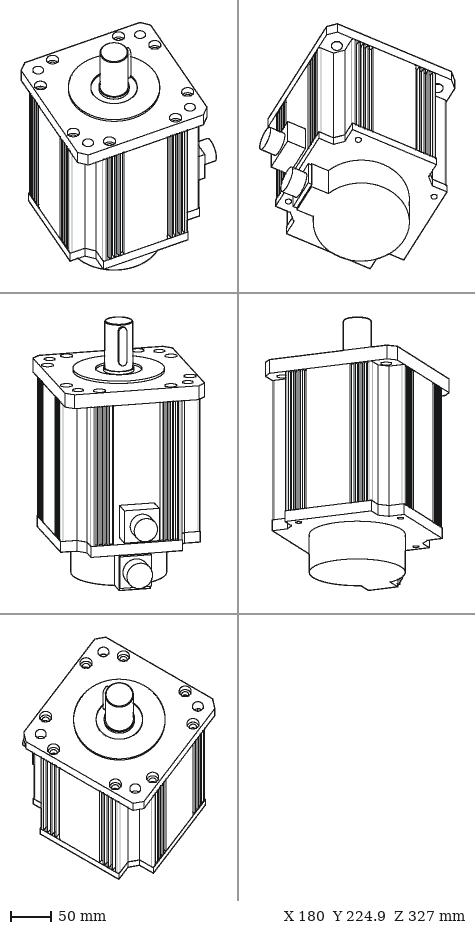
import cadquery as cq
import math


encoder_height = 49
rear_flange_thickness = 14
stator_length = 181
front_flange_thickness = 18
shaft_projection = 65

rear_flange_z = encoder_height
stator_z = rear_flange_z + rear_flange_thickness
front_flange_z = stator_z + stator_length
mounting_face_z = front_flange_z + front_flange_thickness
shaft_end_z = mounting_face_z + shaft_projection

frame_size = 180
half_frame = frame_size / 2
notch_wall = 58.9
notch_floor = 69.3
core_radius = math.hypot(notch_wall, notch_floor)

flange_corner_chamfer = 10
mounting_circle_diameter = 200
mounting_hole_diameter = 13.5
pilot_diameter = 114.3
pilot_height = 3
seal_recess_diameter = 58
seal_recess_depth = 2.5
seal_floor_z = mounting_face_z + pilot_height - seal_recess_depth

bolt_circle_radius = 92
bolt_half_spread = 30
bolt_pattern_twist = 0.4
bolt_hole_diameter = 9
counterbore_diameter = 15
counterbore_depth = 9
through_bolt_circle_radius = 91
through_bolt_hole_diameter = 7.5

center_land_half_width = 30
first_fin_start = 35
fin_pitch = 6.25
fin_width = 2.3
fins_per_half_side = 4
groove_floor = math.sqrt(core_radius**2 - first_fin_start**2)
stator_corner_fillet = 3

shaft_diameter = 35
shaft_chamfer = 1
collar_diameter = 38
collar_projection = 4
collar_top_z = mounting_face_z + collar_projection
key_width = 10
key_length = 50
key_bottom_y = 13
key_top_y = 21
key_end_gap = 3
key_center_z = shaft_end_z - key_end_gap - key_length / 2

cover_radius = 60
cover_box_width = 40
cover_box_y = 80
plug_plate_size = 41
plug_plate_thickness = 5
plug_diameter = 33
plug_length = 19.7
plug_center_z = 24.8

power_box_width = 45
power_box_height = 42
power_box_length = 25
power_box_center_z = 93
power_plug_diameter = 30
power_plug_length = 19.92


def polar(radius, angle):
    """Point at the given radius and angle in degrees."""
    return (radius * math.cos(math.radians(angle)), radius * math.sin(math.radians(angle)))


def prism_toward_y(section, start_y, center_z, length):
    """Extrude a section function's sketch from y = start_y toward +Y."""
    plane = cq.Plane(origin=(0, start_y, center_z), xDir=(-1, 0, 0), normal=(0, 1, 0))
    return section(cq.Workplane(plane)).extrude(length)


bolt_angles = [
    quarter * 90 + side * bolt_half_spread + bolt_pattern_twist
    for quarter in range(4)
    for side in (-1, 1)
]
bolt_points = [polar(bolt_circle_radius, angle) for angle in bolt_angles]

through_bolt_points = [polar(through_bolt_circle_radius, angle) for angle in bolt_angles[::2]]


def drill_through_bolts(body):
    """Cut the four long tie bolt holes through a body."""
    holes = (
        cq.Workplane("XY")
        .pushPoints(through_bolt_points)
        .circle(through_bolt_hole_diameter / 2)
        .extrude(shaft_end_z)
    )
    return body.cut(holes)


def make_front_flange():
    plate = (
        cq.Workplane("XY", origin=(0, 0, front_flange_z))
        .rect(frame_size, frame_size)
        .extrude(front_flange_thickness)
        .edges("|Z")
        .chamfer(flange_corner_chamfer)
    )
    face = cq.Workplane("XY", origin=(0, 0, mounting_face_z))
    pilot = face.circle(pilot_diameter / 2).extrude(pilot_height)
    seal_recess = (
        cq.Workplane("XY", origin=(0, 0, seal_floor_z))
        .circle(seal_recess_diameter / 2)
        .extrude(seal_recess_depth)
    )
    mounting_points = [polar(mounting_circle_diameter / 2, 45 + 90 * corner) for corner in range(4)]
    mounting_holes = (
        face.pushPoints(mounting_points)
        .circle(mounting_hole_diameter / 2)
        .extrude(-front_flange_thickness)
    )
    bolt_holes = (
        face.pushPoints(bolt_points)
        .circle(bolt_hole_diameter / 2)
        .extrude(-front_flange_thickness)
    )
    counterbores = (
        face.pushPoints(bolt_points)
        .circle(counterbore_diameter / 2)
        .extrude(-counterbore_depth)
    )
    flange = plate.union(pilot).cut(seal_recess)
    return flange.cut(mounting_holes).cut(bolt_holes).cut(counterbores)


def notch_cutter(corner, base_z, height, rounded_floor):
    """Corner notch: two walls and a floor that is flat or an arc about the motor axis.

    The outer points lie well outside the frame so that the notch opens to both sides.
    """
    start = (notch_wall, notch_floor)
    end = (notch_floor, notch_wall)
    outline = (
        cq.Workplane("XY", origin=(0, 0, base_z))
        .moveTo(notch_wall, frame_size)
        .lineTo(*start)
    )
    if rounded_floor:
        outline = outline.threePointArc(polar(core_radius, 45), end)
    else:
        outline = outline.lineTo(*end)
    cutter = outline.lineTo(frame_size, notch_wall).lineTo(frame_size, frame_size).close().extrude(height)
    return cutter.rotate((0, 0, 0), (0, 0, 1), 90 * corner)


def make_notched_block(base_z, height, rounded_floor):
    block = cq.Workplane("XY", origin=(0, 0, base_z)).rect(frame_size, frame_size).extrude(height)
    for corner in range(4):
        block = block.cut(notch_cutter(corner, base_z, height, rounded_floor))
    return block


def make_half_side_grooves():
    """Grooves between the fins on the +X half of the +Y side."""
    sketch_plane = cq.Workplane("XY", origin=(0, 0, stator_z))

    arc_middle_x = (center_land_half_width + first_fin_start) / 2
    grooves = (
        sketch_plane.moveTo(center_land_half_width, half_frame)
        .lineTo(center_land_half_width, math.sqrt(core_radius**2 - center_land_half_width**2))
        .threePointArc(
            (arc_middle_x, math.sqrt(core_radius**2 - arc_middle_x**2)),
            (first_fin_start, groove_floor),
        )
        .lineTo(first_fin_start, half_frame)
        .close()
        .extrude(stator_length)
    )
    groove_width = fin_pitch - fin_width
    groove_depth = half_frame - groove_floor
    for fin in range(fins_per_half_side - 1):
        groove_start = first_fin_start + fin * fin_pitch + fin_width
        groove = (
            sketch_plane.center(groove_start + groove_width / 2, half_frame - groove_depth / 2)
            .rect(groove_width, groove_depth)
            .extrude(stator_length)
        )
        grooves = grooves.union(groove)
    return grooves


def make_stator():
    stator = make_notched_block(stator_z, stator_length, rounded_floor=True)
    stator = stator.edges("|Z").edges(">X or <X or >Y or <Y").fillet(stator_corner_fillet)
    half_side = make_half_side_grooves()
    full_side = half_side.union(half_side.mirror("YZ"))
    for side in range(4):
        stator = stator.cut(full_side.rotate((0, 0, 0), (0, 0, 1), 90 * side))
    return drill_through_bolts(stator)


def make_rear_flange():
    return drill_through_bolts(
        make_notched_block(rear_flange_z, rear_flange_thickness, rounded_floor=False)
    )


def make_encoder_cover():
    drum = cq.Workplane("XY").circle(cover_radius).extrude(encoder_height)
    connector_box = (
        cq.Workplane("XY")
        .center(0, cover_box_y / 2)
        .rect(cover_box_width, cover_box_y)
        .extrude(encoder_height)
    )
    return drum.union(connector_box)


def make_encoder_connector():
    plate = prism_toward_y(
        lambda plane: plane.rect(plug_plate_size, plug_plate_size),
        cover_box_y, plug_center_z, plug_plate_thickness,
    )
    plug = prism_toward_y(
        lambda plane: plane.circle(plug_diameter / 2),
        cover_box_y + plug_plate_thickness, plug_center_z, plug_length,
    )
    return plate.union(plug)


def make_power_connector():
    box = prism_toward_y(
        lambda plane: plane.rect(power_box_width, power_box_height),
        half_frame, power_box_center_z, power_box_length,
    )
    plug = prism_toward_y(
        lambda plane: plane.circle(power_plug_diameter / 2),
        half_frame + power_box_length, power_box_center_z, power_plug_length,
    )
    return box.union(plug)


def make_key():
    return prism_toward_y(
        lambda plane: plane.slot2D(key_length, key_width, 90),
        key_bottom_y, key_center_z, key_top_y - key_bottom_y,
    )


def make_shaft():
    """Shaft and collar standing on the floor of the seal recess, with a seat for the key."""
    shaft = (
        cq.Workplane("XY", origin=(0, 0, seal_floor_z))
        .circle(shaft_diameter / 2)
        .extrude(shaft_end_z - seal_floor_z)
        .faces(">Z")
        .chamfer(shaft_chamfer)
    )
    collar = (
        cq.Workplane("XY", origin=(0, 0, seal_floor_z))
        .circle(collar_diameter / 2)
        .extrude(collar_top_z - seal_floor_z)
    )
    return shaft.union(collar).cut(make_key())


front_flange = make_front_flange()
stator = make_stator()
rear_flange = make_rear_flange()
encoder_cover = make_encoder_cover()
encoder_connector = make_encoder_connector()
power_connector = make_power_connector()
shaft = make_shaft()
key = make_key()

result = cq.Compound.makeCompound([
    front_flange.val(),
    stator.val(),
    rear_flange.val(),
    encoder_cover.val(),
    encoder_connector.val(),
    power_connector.val(),
    shaft.val(),
    key.val(),
])